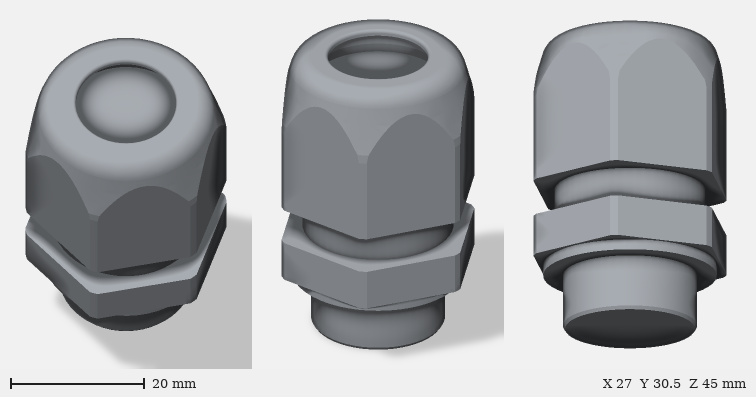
import cadquery as cq
import math

across_flats = 27.0
corner_radius = 15.255
neck_radius = 11.3
thread_radius = 10.0

total_height = 44.95
gasket_bottom = 8.35
hex_bottom = 9.95
hex_top = 16.15
cap_bottom = 21.65

thread_chamfer_height = 0.5
thread_chamfer_width = 0.3
pocket_radius = 9.9
neck_top = total_height - 1.7
pocket_flare_height = 1.8
pocket_flare_width = 0.45

gasket_radius = 13.0

seal_bottom = cap_bottom
seal_top = total_height - 4.8

cone_angle = math.radians(16)
crown_radius = 3.0
top_flat_radius = 10.25
cone_end_z = total_height - 9.1
corner_bevel_bottom = total_height - 10.42
mouth_radius = 7.5
mouth_round = 0.5
roof_thickness = 0.9


def rounded_hexagon(bottom, top):
    """Hexagonal prism with flats facing +X and -X and cylindrically trimmed corners."""
    height = top - bottom
    across_corners = across_flats / math.cos(math.radians(30))
    prism = (
        cq.Workplane("XY", origin=(0, 0, bottom))
        .transformed(rotate=(0, 0, 30))
        .polygon(6, across_corners)
        .extrude(height)
    )
    return prism.intersect(cylinder(corner_radius, bottom, top))


def cylinder(radius, bottom, top):
    """Cylinder about the Z axis between two heights."""
    return cq.Workplane("XY", origin=(0, 0, bottom)).circle(radius).extrude(top - bottom)


def revolve_profile(profile):
    """Full revolution of an XZ-plane profile about the Z axis."""
    return profile.close().revolve(360, (0, 0, 0), (0, 1, 0))


def make_body():
    """Threaded end, hexagon and neck, with a blind pocket for the seal."""
    thread = revolve_profile(
        cq.Workplane("XZ")
        .lineTo(thread_radius - thread_chamfer_width, 0)
        .lineTo(thread_radius, thread_chamfer_height)
        .lineTo(thread_radius, hex_bottom)
        .lineTo(0, hex_bottom)
    )
    neck = cylinder(neck_radius, hex_top, neck_top)
    pocket = revolve_profile(
        cq.Workplane("XZ")
        .moveTo(0, seal_bottom)
        .lineTo(pocket_radius, seal_bottom)
        .lineTo(pocket_radius, neck_top - pocket_flare_height)
        .lineTo(pocket_radius + pocket_flare_width, neck_top)
        .lineTo(0, neck_top)
    )
    return thread.union(rounded_hexagon(hex_bottom, hex_top)).union(neck).cut(pocket)


def make_gasket():
    """Flat sealing ring around the thread, under the hexagon."""
    ring = cylinder(gasket_radius, gasket_bottom, hex_bottom)
    return ring.cut(cylinder(thread_radius, gasket_bottom, hex_bottom))


def make_seal():
    """Solid plug at the bottom of the body's pocket."""
    return cylinder(pocket_radius, seal_bottom, seal_top)


def crown_envelope():
    """Revolved outside of the cap: flat top, tangent round, cone and steeper corner band."""
    round_center_z = total_height - crown_radius
    cone_start_radius = top_flat_radius + crown_radius * math.cos(cone_angle)
    cone_start_z = round_center_z + crown_radius * math.sin(cone_angle)
    mid_angle = (math.pi / 2 + cone_angle) / 2
    round_middle = (
        top_flat_radius + crown_radius * math.cos(mid_angle),
        round_center_z + crown_radius * math.sin(mid_angle),
    )
    cone_end_radius = cone_start_radius + (cone_start_z - cone_end_z) * math.tan(cone_angle)
    return revolve_profile(
        cq.Workplane("XZ")
        .moveTo(0, cap_bottom)
        .lineTo(corner_radius, cap_bottom)
        .lineTo(corner_radius, corner_bevel_bottom)
        .lineTo(cone_end_radius, cone_end_z)
        .lineTo(cone_start_radius, cone_start_z)
        .threePointArc(round_middle, (top_flat_radius, total_height))
        .lineTo(0, total_height)
    )


def cap_opening():
    """Neck socket and the round-edged mouth above it."""
    socket = cylinder(neck_radius, cap_bottom, total_height - roof_thickness)
    round_offset = mouth_round * (1 - math.sqrt(0.5))
    mouth = revolve_profile(
        cq.Workplane("XZ")
        .moveTo(0, cap_bottom)
        .lineTo(mouth_radius, cap_bottom)
        .lineTo(mouth_radius, total_height - mouth_round)
        .threePointArc(
            (mouth_radius + round_offset, total_height - round_offset),
            (mouth_radius + mouth_round, total_height),
        )
        .lineTo(0, total_height)
    )
    return socket.union(mouth)


def make_cap():
    """Hexagonal dome nut."""
    return rounded_hexagon(cap_bottom, total_height).intersect(crown_envelope()).cut(cap_opening())


body = make_body()
gasket = make_gasket()
seal = make_seal()
cap = make_cap()

result = cq.Compound.makeCompound([body.val(), gasket.val(), seal.val(), cap.val()])